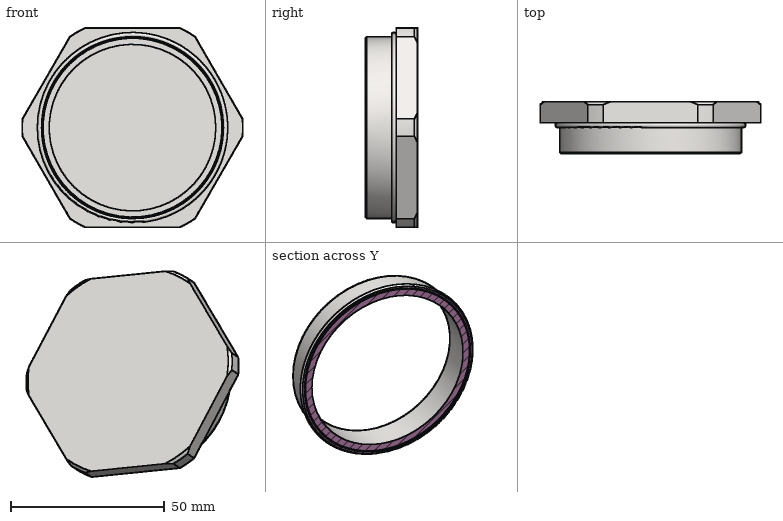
import cadquery as cq
import math

across_flats = 65.0
corner_diameter = 72.0
head_thickness = 7.0
head_chamfer = 1.0

total_depth = 17.0
spigot_length = total_depth - head_thickness
spigot_radius = 29.65
bore_radius = 27.1
bore_depth = 13.95
spigot_chamfer = 0.5

ring_outer_radius = 31.0
ring_section_radius = 0.8
ring_centre_y = -0.7


def disc(radius, length, start_y):
    """Cylinder about the Y axis, growing toward -Y from start_y."""
    return cq.Workplane("XZ", origin=(0, start_y, 0)).circle(radius).extrude(length)


def make_head():
    """Hexagon with turned corners, chamfered on the back; front face at Y = 0."""
    sharp_corner_diameter = across_flats / math.cos(math.radians(30))
    hexagon = (
        cq.Workplane("XZ", origin=(0, head_thickness, 0))
        .polygon(6, sharp_corner_diameter)
        .extrude(head_thickness)
    )
    turned_blank = disc(corner_diameter / 2, head_thickness, head_thickness)
    return hexagon.intersect(turned_blank.faces(">Y").chamfer(head_chamfer))


def make_spigot():
    """Round spigot with a chamfered outer rim."""
    return disc(spigot_radius, spigot_length, 0).faces("<Y").edges().chamfer(spigot_chamfer)


def make_ring():
    """Round-section ring biting slightly into the spigot and the head."""
    ring_centre_radius = ring_outer_radius - ring_section_radius
    return (
        cq.Workplane("XY")
        .center(-ring_centre_radius, ring_centre_y)
        .circle(ring_section_radius)
        .revolve(360, (ring_centre_radius, 0), (ring_centre_radius, 1))
    )


bore = disc(bore_radius, bore_depth, bore_depth - spigot_length)

result = make_head().union(make_spigot()).union(make_ring()).cut(bore)